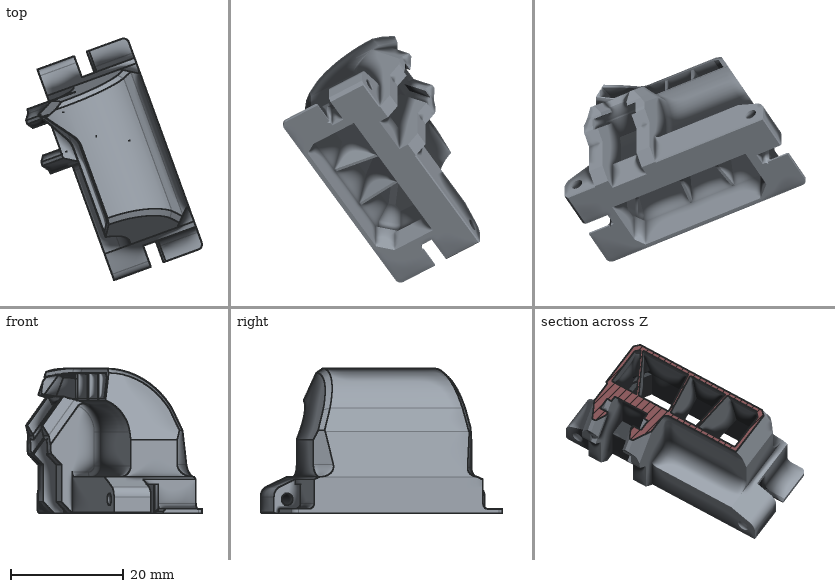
import cadquery as cq
import math

TURN_ANGLE = 20.0
FAR = 40.0
PICK = 0.1

BASE_WIDTH = 17.0
BASE_HEIGHT = 6.5
BODY_HALF = 15.0
END_WALL_HALF = 16.0
OVERALL_HALF = 20.0
BLOCK_WIDTH = 7.0
BLOCK_SHOULDER_Z = 4.24
BLOCK_ROUND = 2.0
BLOCK_BOTTOM_CHAMFER = 0.6
BOTTOM_EDGE_CHAMFER = 0.2
PIN_DIAMETER = 2.1
PIN_V = 17.5
PIN_Z = 2.5

TAB_START = 9.35
TAB_THICKNESS = 0.8
TAB_CORNER_RADIUS = 1.0
TAB_ROOT_RADIUS = 1.0
SLOT_HEIGHT = 5.2
SLOT_EDGE_CHAMFER = 0.45
END_WALL_INNER_HALF = 13.4

WALL = 0.8
DOME_RADIUS = 12.75
DOME_U = 2.5
DOME_TOP = 25.83
DOME_Z = DOME_TOP - DOME_RADIUS
DOME_END_U = 13.9
BACK_KINK_U = 15.45
BACK_KINK_Z = 14.6
BEAK_LIMIT_U = -3.2
END_LEAN_START_Z = 13.1
NEAR_LEAN = 21.3
FAR_LEAN = 9.0
END_CHAMFER = 0.85
CORNER_CHAMFER_U = 3.2
NEAR_CORNER_V = 3.2
FAR_CORNER_V = 2.0
CORNER_TOP_Z = 17.6

RECESS_U = 5.0
RECESS_ARC_RADIUS = 6.0
RECESS_ARC_Z = 14.55
LIP_U = 1.2
LIP_Z = 20.1
LIP_THICKNESS = 0.3
BEAK_SLOPE = 0.26
RECESS_FLOOR_RADIUS = 2.0
RECESS_SIDE_RADIUS = 0.9

WINDOW_TOP_U = 2.75
ELBOW_V = 5.6
ELBOW_RADIUS = 4.0
BEAK_LOW = (-2.9, 12.55)
BEAK_HIGH = (-1.3, 11.2)
BEAK_ROOT_LOW = (1.4, 14.3)
BEAK_ROOT_HIGH = (2.5, 13.0)
BEAK_WALL_SHIFT = 0.35

RIB_FAN = ((6.8, 28.0), (0.95, 8.5), (-4.3, -5.0))
RIB_THICKNESS = 0.5
RIB_FRONT_U = 2.7

ARM_MIDDLE_V = 7.85
ARM_INNER = 3.4
ARM_OUTER = 6.1
ARM_TOP = (-1.07, 20.85)
ARM_NOSE = (-5.02, 15.65)
NOSE_UNDERSIDE = ((-4.0, 10.6), (-4.1, 11.3), (-4.2, 13.8))
LEG_U = -2.05
LEG_TOP_Z = 8.65
ARM_GAP_U = 1.8

RIDGE_INNER = 3.6
RIDGE_OUTER = 4.3
SHOULDER_OUTER = 5.35
SHOULDER_DEPTH = 1.65
ARM_OUTER_DEPTH = 2.75
LIP_INNER = 2.6
LIP_INNER_DEPTH = 1.55
GROOVE_OUTER = 4.3
GROOVE_TOP_DEPTH = 2.2
GROOVE_FLOOR_DEPTH = 4.0

LINTEL_STEP = ((-0.6, 19.4), (1.2, 18.4), (1.2, 17.9))
LINTEL_BOTTOM_Z = 16.9
LINTEL_BACK_U = 4.5


def dome_z(u, radius):
    """Height of the dome surface at a given U."""
    return DOME_Z + math.sqrt(radius ** 2 - (u - DOME_U) ** 2)


def recess_arc_u(z, radius):
    """U of the overhanging recess surface at height z."""
    return RECESS_U - RECESS_ARC_RADIUS + math.sqrt(radius ** 2 - (z - RECESS_ARC_Z) ** 2)


def underside_z(u):
    """Height of the rising underside between the lip and the beak."""
    return LIP_Z + (LIP_U - u) * BEAK_SLOPE


def along_v(profile, v_low, v_high):
    """Extrude a closed (U, Z) profile from v_low to v_high."""
    return profile.extrude(v_low - v_high).translate((0, v_low, 0))


def sketch_uz():
    return cq.Workplane("XZ")


def sketch_vz():
    return cq.Workplane("YZ")


def block(u_low, u_high, v_low, v_high, z_low, z_high):
    size = (u_high - u_low, v_high - v_low, z_high - z_low)
    return cq.Workplane("XY").box(*size, centered=False).translate((u_low, v_low, z_low))


def hood_profile(inset):
    """Cross-section of the dome and the front recess, moved inwards by inset."""
    radius = DOME_RADIUS - inset
    recess_radius = RECESS_ARC_RADIUS + inset
    recess_u = RECESS_U + inset
    top_mid_u = (DOME_END_U + BEAK_LIMIT_U) / 2
    end_u = DOME_END_U - inset
    lip_z = LIP_Z + (LIP_THICKNESS if inset else 0.0)
    lip_u = recess_arc_u(lip_z, recess_radius)
    arc_mid_z = (lip_z + RECESS_ARC_Z) / 2
    return (
        sketch_uz()
        .moveTo(recess_u, 0)
        .lineTo(BASE_WIDTH - inset, 0)
        .lineTo(BASE_WIDTH - inset, BASE_HEIGHT)
        .lineTo(BACK_KINK_U - inset, BACK_KINK_Z)
        .lineTo(end_u, dome_z(end_u, radius))
        .threePointArc((top_mid_u, dome_z(top_mid_u, radius)), (BEAK_LIMIT_U, dome_z(BEAK_LIMIT_U, radius)))
        .lineTo(BEAK_LIMIT_U, underside_z(BEAK_LIMIT_U) + lip_z - LIP_Z)
        .lineTo(LIP_U, lip_z)
        .lineTo(lip_u, lip_z)
        .threePointArc((recess_arc_u(arc_mid_z, recess_radius), arc_mid_z), (recess_u, RECESS_ARC_Z))
        .close()
    )


def leaning_ends(inset):
    """Side outline of the hood: upright ends that lean inwards higher up."""
    half = BODY_HALF - inset
    rise = FAR - END_LEAN_START_Z
    return (
        sketch_vz()
        .moveTo(-half, 0)
        .lineTo(half, 0)
        .lineTo(half, END_LEAN_START_Z)
        .lineTo(half - rise * math.tan(math.radians(FAR_LEAN)), FAR)
        .lineTo(-half + rise * math.tan(math.radians(NEAR_LEAN)), FAR)
        .lineTo(-half, END_LEAN_START_Z)
        .close()
        .extrude(FAR, both=True)
    )


def back_corner(side, depth, inset):
    """Waste beyond the slanting back corner, above a concave foot that meets the base corner."""
    half = BODY_HALF - inset
    corner_u = BASE_WIDTH - inset
    start = cq.Vector(corner_u - CORNER_CHAMFER_U, side * half, 0)
    finish = cq.Vector(corner_u, side * (half - depth), 0)
    tip = (corner_u + WALL, side * (half + WALL))
    outline = [
        (start.x, start.y),
        (finish.x, finish.y),
        (tip[0], finish.y),
        tip,
        (start.x, tip[1]),
    ]
    waste = cq.Workplane("XY").polyline(outline).close().extrude(CORNER_TOP_Z)

    length = math.hypot(CORNER_CHAMFER_U, depth)
    outward = cq.Vector(depth / length, side * CORNER_CHAMFER_U / length, 0)
    radius = CORNER_CHAMFER_U * depth / length
    middle = (start + finish) * 0.5
    across = cq.Plane(
        origin=(middle.x, middle.y, BASE_HEIGHT),
        xDir=outward.toTuple(),
        normal=outward.cross(cq.Vector(0, 0, 1)).toTuple(),
    )
    bend = radius * (1 - math.sqrt(0.5))
    foot = (
        cq.Workplane(across)
        .lineTo(radius, 0)
        .threePointArc((bend, bend), (0, radius))
        .close()
        .extrude(length, both=True)
    )
    return waste.cut(foot)


def hood_solid(inset):
    """Domed hood with chamfered end rims and slanting back corners."""
    hood = along_v(hood_profile(inset), -BODY_HALF, BODY_HALF).intersect(leaning_ends(inset))
    rim = cq.selectors.BoxSelector((RECESS_U, -FAR, BACK_KINK_Z + 1), (BACK_KINK_U, FAR, DOME_TOP))
    hood = hood.edges("not(|Y)").edges(rim).chamfer(END_CHAMFER)
    for side, depth in ((-1, NEAR_CORNER_V), (1, FAR_CORNER_V)):
        hood = hood.cut(back_corner(side, depth, inset))
    return hood


def window_cutter():
    """Material removed in front of the leaning window face and around the beak."""
    def outline(z, front_u, beak, root):
        points = [
            (-FAR, -FAR),
            (front_u, -FAR),
            (front_u, ELBOW_V),
            beak,
            root,
            (root[0], FAR),
            (-FAR, FAR),
        ]
        return cq.Wire.makePolygon([cq.Vector(u, v, z) for u, v in points], close=True)

    low = outline(LIP_Z, LIP_U, BEAK_LOW, BEAK_ROOT_LOW)
    high = outline(DOME_TOP + PICK, WINDOW_TOP_U, BEAK_HIGH, BEAK_ROOT_HIGH)
    cutter = cq.Workplane(cq.Solid.makeLoft([low, high], True))
    elbow = cq.selectors.BoxSelector((LIP_U, ELBOW_V - 1, LIP_Z + 1), (WINDOW_TOP_U, ELBOW_V + 1, DOME_TOP))
    return cutter.edges(elbow).fillet(ELBOW_RADIUS)


def base():
    """Low base with sloping end blocks, end walls, tabs, slots and pin holes."""
    profile = (
        sketch_vz()
        .moveTo(-OVERALL_HALF, 0)
        .lineTo(OVERALL_HALF, 0)
        .lineTo(OVERALL_HALF, BLOCK_SHOULDER_Z)
        .lineTo(BODY_HALF, BASE_HEIGHT)
        .lineTo(-BODY_HALF, BASE_HEIGHT)
        .lineTo(-OVERALL_HALF, BLOCK_SHOULDER_Z)
        .close()
    )
    body = profile.extrude(BASE_WIDTH)
    shoulder = cq.selectors.BoxSelector(
        (0, -FAR, BLOCK_SHOULDER_Z - PICK), (FAR, FAR, BLOCK_SHOULDER_Z + PICK)
    )
    body = body.edges(shoulder).fillet(BLOCK_ROUND)
    body = body.faces("<Z").edges("<X or <Y").chamfer(BOTTOM_EDGE_CHAMFER)
    body = body.faces(">Y").edges("<Z").chamfer(BLOCK_BOTTOM_CHAMFER)
    for side in (-1, 1):
        v_low, v_high = sorted((side * END_WALL_HALF, side * FAR))
        body = body.cut(block(BLOCK_WIDTH, FAR, v_low, v_high, 0, FAR))
        body = body.union(tab(side))
        body = body.cut(wall_slot(side))
        pin = sketch_vz().center(side * PIN_V, PIN_Z).circle(PIN_DIAMETER / 2).extrude(BLOCK_WIDTH)
        body = body.cut(pin)
    return body


def wall_slot(side):
    """Slot through the end wall, its far outer edge chamfered."""
    outline = [
        (BLOCK_WIDTH, side * BODY_HALF / 2),
        (TAB_START, side * BODY_HALF / 2),
        (TAB_START, side * (END_WALL_HALF - SLOT_EDGE_CHAMFER)),
        (TAB_START + SLOT_EDGE_CHAMFER, side * END_WALL_HALF),
        (BLOCK_WIDTH, side * END_WALL_HALF),
    ]
    return cq.Workplane("XY").polyline(outline).close().extrude(SLOT_HEIGHT)


def tab(side):
    """Thin foot with a rounded outer corner and a concave root."""
    v_low, v_high = sorted((side * (END_WALL_HALF - WALL), side * OVERALL_HALF))
    foot = block(TAB_START, BASE_WIDTH, v_low, v_high, 0, TAB_THICKNESS)
    outer = ">Y" if side > 0 else "<Y"
    foot = foot.faces(outer).edges("|Z and >X").fillet(TAB_CORNER_RADIUS)
    root_v = side * (END_WALL_HALF + TAB_ROOT_RADIUS)
    root_z = TAB_THICKNESS + TAB_ROOT_RADIUS
    bend = TAB_ROOT_RADIUS * math.sqrt(0.5)
    root = (
        sketch_vz()
        .moveTo(side * END_WALL_HALF, TAB_THICKNESS)
        .lineTo(root_v, TAB_THICKNESS)
        .threePointArc((root_v - side * bend, root_z - bend), (side * END_WALL_HALF, root_z))
        .close()
        .extrude(BASE_WIDTH - TAB_START)
        .translate((TAB_START, 0, 0))
    )
    foot = foot.union(root)
    edge = sketch_uz().polyline([
        (TAB_START, TAB_THICKNESS - SLOT_EDGE_CHAMFER),
        (TAB_START + SLOT_EDGE_CHAMFER, TAB_THICKNESS),
        (TAB_START + SLOT_EDGE_CHAMFER, BASE_HEIGHT),
        (TAB_START, BASE_HEIGHT),
    ])
    v_low, v_high = sorted((side * END_WALL_HALF, side * FAR))
    return foot.cut(along_v(edge.close(), v_low, v_high))


def recess_floor_round():
    """Concave sweep between the base top and the recess wall."""
    radius = RECESS_FLOOR_RADIUS
    bend = radius * math.sqrt(0.5)
    profile = (
        sketch_uz()
        .moveTo(RECESS_U - radius, BASE_HEIGHT)
        .threePointArc(
            (RECESS_U - radius + bend, BASE_HEIGHT + radius - bend),
            (RECESS_U, BASE_HEIGHT + radius),
        )
        .lineTo(RECESS_U, BASE_HEIGHT)
        .close()
    )
    return along_v(profile, -BODY_HALF, ARM_MIDDLE_V - ARM_INNER)


def arm(side):
    """Leg and chamfered sloping ridge of one arm."""
    silhouette = [
        (RECESS_U, 0),
        (0, 0),
        (LEG_U, -LEG_U),
        (LEG_U, LEG_TOP_Z),
        *NOSE_UNDERSIDE,
        ARM_NOSE,
        ARM_TOP,
        (LIP_U, LIP_Z),
        (RECESS_U, LIP_Z),
    ]
    side_plate = along_v(sketch_uz().polyline(silhouette).close(), -FAR, FAR)
    ridge_section = [
        (RIDGE_INNER, 0),
        (RIDGE_OUTER, 0),
        (SHOULDER_OUTER, -SHOULDER_DEPTH),
        (ARM_OUTER, -ARM_OUTER_DEPTH),
        (ARM_OUTER, -FAR),
        (ARM_INNER, -FAR),
        (ARM_INNER, -GROOVE_FLOOR_DEPTH),
        (GROOVE_OUTER, -GROOVE_FLOOR_DEPTH),
        (GROOVE_OUTER, -GROOVE_TOP_DEPTH),
        (LIP_INNER, -GROOVE_TOP_DEPTH),
        (LIP_INNER, -LIP_INNER_DEPTH),
    ]
    slope = cq.Vector(ARM_TOP[0] - ARM_NOSE[0], 0, ARM_TOP[1] - ARM_NOSE[1])
    plane = cq.Plane(origin=(ARM_NOSE[0], 0, ARM_NOSE[1]), xDir=(0, 1, 0), normal=slope.toTuple())
    section = [(side * v, depth) for v, depth in ridge_section]
    ridge = cq.Workplane(plane).polyline(section).close().extrude(FAR, both=True)
    return side_plate.intersect(ridge).translate((0, ARM_MIDDLE_V, 0))


def lintel():
    """Stepped bar joining the arms below the window."""
    profile = [
        ARM_TOP,
        *LINTEL_STEP,
        (LINTEL_BACK_U, LINTEL_BOTTOM_Z),
        (RECESS_U, LINTEL_BOTTOM_Z),
        (RECESS_U, LIP_Z),
        (LIP_U, LIP_Z),
    ]
    bar = sketch_uz().polyline(profile).close()
    return along_v(bar, ARM_MIDDLE_V - RIDGE_OUTER, ARM_MIDDLE_V + RIDGE_OUTER)


def arm_gap():
    """Notch in the base front between the two legs."""
    return block(0, ARM_GAP_U, ARM_MIDDLE_V - ARM_INNER, ARM_MIDDLE_V + ARM_INNER, 0, BASE_HEIGHT)


def rib(front_v, angle):
    """Upright rib running back from the window at an angle to U."""
    half = RIB_THICKNESS / 2
    plate = block(0, FAR, -half, half, BASE_HEIGHT, FAR)
    return plate.rotate((0, 0, 0), (0, 0, 1), angle).translate((RIB_FRONT_U, front_v, 0))


def hood_cavity(window):
    """Hollow of the hood, leaving the beak wall, thick base ends and the ribs standing."""
    cavity = hood_solid(WALL)
    beyond_beak = window.intersect(block(-FAR, FAR, BEAK_LOW[1], FAR, 0, FAR))
    cavity = cavity.cut(beyond_beak.translate((BEAK_WALL_SHIFT, -WALL, 0)))
    for v_low, v_high in ((-FAR, -END_WALL_INNER_HALF), (END_WALL_INNER_HALF, FAR)):
        cavity = cavity.cut(block(0, FAR, v_low, v_high, 0, BASE_HEIGHT - WALL))
    for front_v, angle in RIB_FAN:
        cavity = cavity.cut(rib(front_v, angle))
    return cavity


def round_recess_side(body):
    """Fillet where the outer side of the near arm meets the recess wall and the base top."""
    side_v = ARM_MIDDLE_V - ARM_OUTER
    corner = cq.selectors.BoxSelector(
        (0, side_v - PICK, BASE_HEIGHT - PICK),
        (RECESS_U + PICK, side_v + PICK, RECESS_ARC_Z),
    )
    return body.edges(corner).fillet(RECESS_SIDE_RADIUS)


window = window_cutter()
body = base().cut(arm_gap()).union(recess_floor_round())
body = body.union(hood_solid(0).cut(window))
for side in (-1, 1):
    body = body.union(arm(side))
body = round_recess_side(body)
body = body.union(lintel())
body = body.cut(hood_cavity(window))
result = body.rotate((0, 0, 0), (0, 0, 1), TURN_ANGLE)